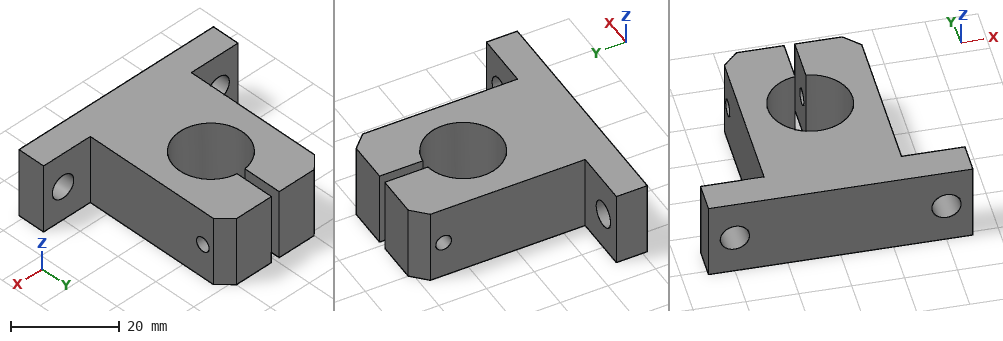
import cadquery as cq

base_length = 50
total_depth = 42
thickness = 16

base_depth = 6.5
block_width = 26
corner_chamfer = 3

bore_diameter = 16
bore_center_y = 25
slit_width = 2

mount_hole_diameter = 5.5
mount_hole_spacing = 40
clamp_hole_diameter = 3.3
clamp_hole_from_end = 5.8


def t_shaped_body():
    """Base along X with a chamfered clamp block rising along Y, centred on Z."""
    base = cq.Workplane("XY").box(base_length, base_depth, thickness, centered=(True, False, True))
    block = (
        cq.Workplane("XY")
        .box(block_width, total_depth, thickness, centered=(True, False, True))
        .edges("|Z and >Y")
        .chamfer(corner_chamfer)
    )
    return base.union(block)


def shaft_bore():
    return (
        cq.Workplane("XY")
        .center(0, bore_center_y)
        .circle(bore_diameter / 2)
        .extrude(thickness / 2, both=True)
    )


def clamping_slit():
    """Slit from the bore centre out through the end of the block."""
    return (
        cq.Workplane("XY", origin=(0, bore_center_y, 0))
        .box(slit_width, total_depth - bore_center_y, thickness, centered=(True, False, True))
    )


def mounting_holes():
    half_spacing = mount_hole_spacing / 2
    return (
        cq.Workplane("XZ")
        .pushPoints([(-half_spacing, 0), (half_spacing, 0)])
        .circle(mount_hole_diameter / 2)
        .extrude(-base_depth)
    )


def clamp_screw_hole():
    """Hole along X that crosses the slit and both jaws."""
    return (
        cq.Workplane("YZ")
        .center(total_depth - clamp_hole_from_end, 0)
        .circle(clamp_hole_diameter / 2)
        .extrude(block_width / 2, both=True)
    )


result = (
    t_shaped_body()
    .cut(shaft_bore())
    .cut(clamping_slit())
    .cut(mounting_holes())
    .cut(clamp_screw_hole())
)